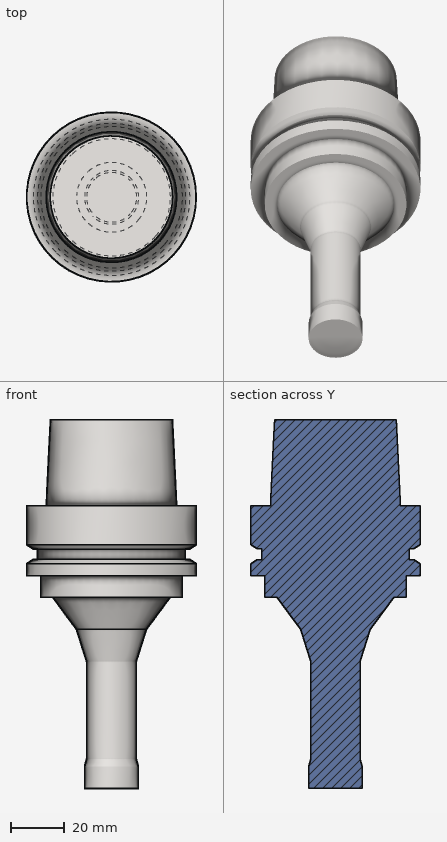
import cadquery as cq


taper_top_z = 32.0
taper_top_diameter = 45.4
taper_base_diameter = 48.5

flange_diameter = 63.0
flange_top_z = 0.0
flange_bottom_z = -26.0
groove_diameter = 55.0
groove_shoulder_diameter = 58.1
groove_center_z = -18.0
groove_mouth_width = 7.0
groove_floor_width = 3.8

collar_diameter = 52.6
collar_bottom_z = -34.0
neck_top_diameter = 43.6
neck_middle_diameter = 26.0
neck_middle_z = -45.9
neck_bottom_z = -57.8

stem_diameter = 18.5
stem_bottom_z = -94.0
tip_diameter = 20.0
tip_top_z = -96.8
tip_bottom_z = -105.0


def frustum(top_diameter, bottom_diameter, top_z, bottom_z):
    """Solid of revolution about Z with straight sides between two heights."""
    profile = [
        (0, bottom_z),
        (bottom_diameter / 2, bottom_z),
        (top_diameter / 2, top_z),
        (0, top_z),
    ]
    return cq.Workplane("XZ").polyline(profile).close().revolve(360, (0, 0, 0), (0, 1, 0))


def cylinder(diameter, top_z, bottom_z):
    return frustum(diameter, diameter, top_z, bottom_z)


def make_flange():
    mouth_top_z = groove_center_z + groove_mouth_width / 2
    mouth_bottom_z = groove_center_z - groove_mouth_width / 2
    floor_top_z = groove_center_z + groove_floor_width / 2
    floor_bottom_z = groove_center_z - groove_floor_width / 2

    upper_rim = cylinder(flange_diameter, flange_top_z, mouth_top_z)
    upper_wall = frustum(flange_diameter, groove_shoulder_diameter, mouth_top_z, floor_top_z)
    floor = cylinder(groove_diameter, floor_top_z, floor_bottom_z)
    lower_wall = frustum(groove_shoulder_diameter, flange_diameter, floor_bottom_z, mouth_bottom_z)
    lower_rim = cylinder(flange_diameter, mouth_bottom_z, flange_bottom_z)
    return upper_rim.union(upper_wall).union(floor).union(lower_wall).union(lower_rim)


def make_neck():
    upper_cone = frustum(neck_top_diameter, neck_middle_diameter, collar_bottom_z, neck_middle_z)
    lower_cone = frustum(neck_middle_diameter, stem_diameter, neck_middle_z, neck_bottom_z)
    return upper_cone.union(lower_cone)


def make_stem():
    shaft = cylinder(stem_diameter, neck_bottom_z, stem_bottom_z)
    transition = frustum(stem_diameter, tip_diameter, stem_bottom_z, tip_top_z)
    tip = cylinder(tip_diameter, tip_top_z, tip_bottom_z)
    return shaft.union(transition).union(tip)


shank = frustum(taper_top_diameter, taper_base_diameter, taper_top_z, flange_top_z)
collar = cylinder(collar_diameter, flange_bottom_z, collar_bottom_z)

result = shank.union(make_flange()).union(collar).union(make_neck()).union(make_stem())